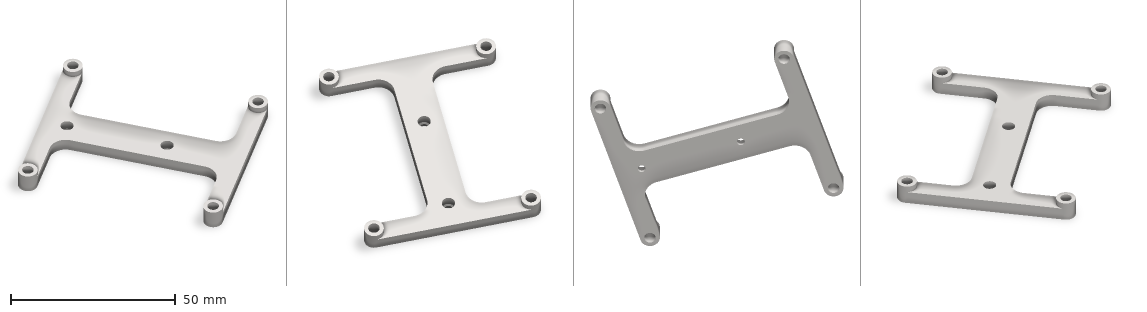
import cadquery as cq

length = 64.45
width = 55.0
boss_height = 6.0

plate_thickness = 4.0
arm_width = 6.0
crossbar_width = 12.0
inner_corner_radius = 5.0

boss_hole_diameter = 3.5
screw_hole_diameter = 2.4
counterbore_diameter = 4.0
counterbore_depth = 3.0
screw_hole_x_positions = (-24.0, 7.6)

boss_x = (length - arm_width) / 2
boss_y = (width - arm_width) / 2
boss_centres = [(x, y) for x in (-boss_x, boss_x) for y in (-boss_y, boss_y)]


def make_plate():
    """H-shaped plate: two arms ending at the boss centres, joined by a crossbar."""
    arms = (
        cq.Workplane("XY")
        .pushPoints([(-boss_x, 0), (boss_x, 0)])
        .rect(arm_width, 2 * boss_y)
        .extrude(plate_thickness)
    )
    crossbar = cq.Workplane("XY").box(
        2 * boss_x, crossbar_width, plate_thickness, centered=(True, True, False)
    )
    inner_x = boss_x - arm_width / 2
    corner_y = crossbar_width / 2
    corner_margin = 0.65
    inner_corners = cq.selectors.BoxSelector(
        (-inner_x - corner_margin, -corner_y - corner_margin, -corner_margin),
        (inner_x + corner_margin, corner_y + corner_margin, plate_thickness + corner_margin),
    )
    return arms.union(crossbar).edges("|Z").edges(inner_corners).fillet(inner_corner_radius)


def make_bosses():
    """Standoff bosses at the four arm ends."""
    return cq.Workplane("XY").pushPoints(boss_centres).circle(arm_width / 2).extrude(boss_height)


def make_boss_holes():
    """Through holes along the boss axes."""
    return cq.Workplane("XY").pushPoints(boss_centres).circle(boss_hole_diameter / 2).extrude(boss_height)


def make_screw_holes():
    """Counterbored through holes on the crossbar centreline."""
    centres = [(x, 0) for x in screw_hole_x_positions]
    shafts = cq.Workplane("XY").pushPoints(centres).circle(screw_hole_diameter / 2).extrude(plate_thickness)
    counterbores = (
        cq.Workplane("XY", origin=(0, 0, plate_thickness))
        .pushPoints(centres)
        .circle(counterbore_diameter / 2)
        .extrude(-counterbore_depth)
    )
    return shafts.union(counterbores)


result = make_plate().union(make_bosses()).cut(make_boss_holes()).cut(make_screw_holes())